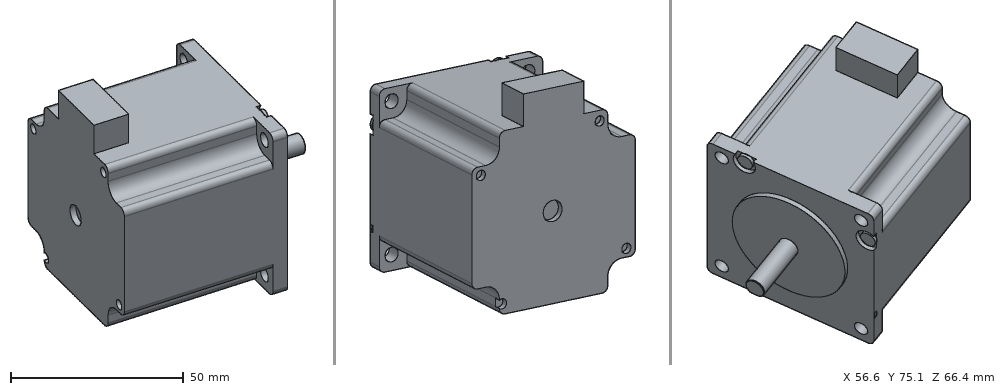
import cadquery as cq

frame_width = 56.4
plate_thickness = 4.9
motor_length = 54.5
half_width = frame_width / 2

mount_hole_spacing = 47.14
mount_hole_diameter = 4.5
corner_cut = 9.5
corner_cut_radius = 4.75
edge_radius = 2.0

shaft_x = -0.35
shaft_z = 0.35
shaft_diameter = 6.35
shaft_length = 20.6
shaft_tip_chamfer = 0.25
shaft_flat_depth = 0.65
shaft_flat_start = 2.9
pilot_diameter = 38.1
pilot_height = 1.6

connector_width = 20.8
connector_length = 11.6
connector_top = 38.2

rear_recess_depth = 2.0
rear_bore_diameter = 6.5
rear_screw_hole_diameter = 3.1
rear_screw_hole_centres = [(15.9, 24.9), (-25.1, 16.0), (25.1, -16.0), (-17.8, -24.9)]

screw_offset = 15.95
screw_protrusion = 0.25
screw_head_diameter = 5.0
screw_head_sink = 0.4
counterbore_diameter = 7.5
counterbore_depth = 1.5
screw_axis = half_width + screw_protrusion - screw_head_diameter / 2
top_screw = (shaft_x + screw_offset, screw_axis)
upper_side_screw = (-screw_axis, shaft_z + screw_offset)
lower_side_screw = (-screw_axis, shaft_z - screw_offset)


def cylinder(centre, diameter, y_start, y_end):
    """Cylinder along Y about the (x, z) centre."""
    base = cq.Workplane("XZ", origin=(centre[0], y_start, centre[1]))
    return base.circle(diameter / 2).extrude(y_start - y_end)


def square_bar(y_start, y_end):
    """Square bar along Y with the frame's width."""
    return cq.Workplane("XZ", origin=(0, y_start, 0)).rect(frame_width, frame_width).extrude(y_start - y_end)


def mounting_plate():
    plate = square_bar(-plate_thickness, 0).edges("|Y").fillet(edge_radius)
    hole_offset = mount_hole_spacing / 2
    for x in (shaft_x - hole_offset, shaft_x + hole_offset):
        for z in (shaft_z - hole_offset, shaft_z + hole_offset):
            plate = plate.cut(cylinder((x, z), mount_hole_diameter, -plate_thickness, 0))
    return plate


def corner_notch(x_sign, z_sign):
    """Square notch with a rounded inner corner, running along the motor body."""
    centre = half_width - corner_cut / 2
    length = motor_length - plate_thickness
    notch = cq.Workplane("XY").box(corner_cut, length, corner_cut)
    notch = notch.translate((x_sign * centre, -(motor_length + plate_thickness) / 2, z_sign * centre))
    inner_edge = ("<X" if x_sign > 0 else ">X", "<Z" if z_sign > 0 else ">Z")
    return notch.edges("|Y and {} and {}".format(*inner_edge)).fillet(corner_cut_radius)


def motor_body():
    body = square_bar(-motor_length, -plate_thickness)
    for x_sign in (-1, 1):
        for z_sign in (-1, 1):
            body = body.cut(corner_notch(x_sign, z_sign))
    outer_edges = body.edges("|Y").edges("<X or >X or <Z or >Z")
    return outer_edges.fillet(edge_radius)


def connector():
    block = cq.Workplane("XY", origin=(0, -motor_length + connector_length / 2, 0))
    return block.rect(connector_width, connector_length).extrude(connector_top)


def shaft_and_pilot():
    centre = (shaft_x, shaft_z)
    shaft = cylinder(centre, shaft_diameter, 0, shaft_length).faces(">Y").chamfer(shaft_tip_chamfer)
    flat_length = shaft_length - shaft_flat_start
    flat = cq.Workplane("XY").box(shaft_diameter, flat_length, shaft_flat_depth)
    flat = flat.translate((
        shaft_x,
        shaft_flat_start + flat_length / 2,
        shaft_z - shaft_diameter / 2 + shaft_flat_depth / 2,
    ))
    return shaft.cut(flat).union(cylinder(centre, pilot_diameter, 0, pilot_height))


def rear_recesses():
    y_end = rear_recess_depth - motor_length
    recesses = cylinder((shaft_x, shaft_z), rear_bore_diameter, -motor_length, y_end)
    for centre in rear_screw_hole_centres:
        recesses = recesses.union(cylinder(centre, rear_screw_hole_diameter, -motor_length, y_end))
    return recesses


motor = mounting_plate().union(motor_body()).union(connector()).cut(rear_recesses())
for screw in (top_screw, upper_side_screw):
    motor = motor.cut(cylinder(screw, counterbore_diameter, -counterbore_depth, 0))
for screw in (top_screw, upper_side_screw, lower_side_screw):
    motor = motor.union(cylinder(screw, screw_head_diameter, -counterbore_depth, -screw_head_sink))

result = motor.union(shaft_and_pilot())